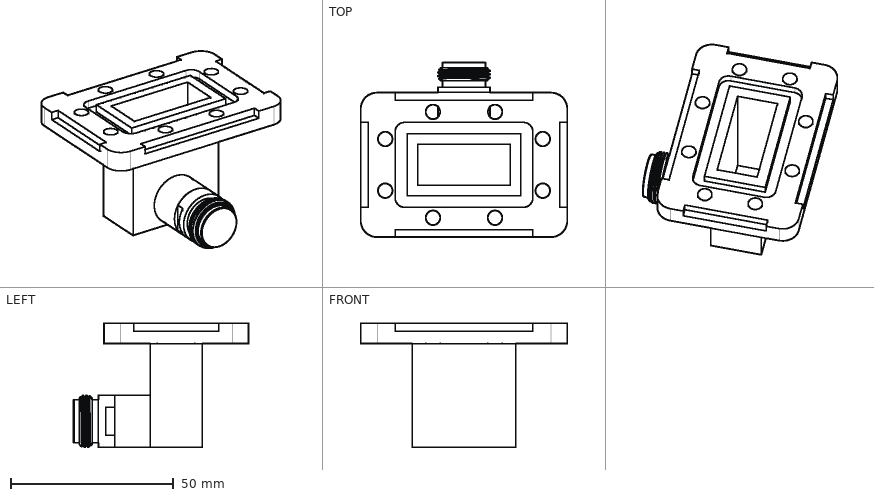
import cadquery as cq
import math

FLANGE_LENGTH = 63.5
FLANGE_WIDTH = 44.45
FLANGE_THICKNESS = 6.35
FLANGE_CORNER_RADIUS = 5.1

SEAT_LENGTH = 42.35
SEAT_WIDTH = 26.1
SEAT_CORNER_RADIUS = 3.0
SEAT_DEPTH = 2.5
RIM_LENGTH = 35.0
RIM_WIDTH = 19.1

NOTCH_INSET = 2.35
NOTCH_DEPTH = 2.5

HOLE_DIAMETER = 4.4
LONG_EDGE_HOLE_X = 9.5
LONG_EDGE_HOLE_Y = 16.25
SHORT_EDGE_HOLE_X = 24.2
SHORT_EDGE_HOLE_Y = 7.95

BOX_LENGTH = 31.9
BOX_WIDTH = 16.0
BOX_HEIGHT = 31.8
CAVITY_LENGTH = 28.45
WALL = (BOX_LENGTH - CAVITY_LENGTH) / 2
CAVITY_WIDTH = BOX_WIDTH - 2 * WALL

AXIS_RADIUS = BOX_WIDTH / 2
AXIS_Z = AXIS_RADIUS - BOX_HEIGHT
SLEEVE_START_Y = BOX_WIDTH / 2
SLEEVE_END_Y = 18.9
COLLAR_END_Y = 23.9
CONNECTOR_END_Y = 31.55
BARREL_RADIUS = 6.65
TIP_CHAMFER = 0.25

FLAT_LENGTH = 2.65
FLAT_CHORD = 8.7
FLAT_DISTANCE = math.sqrt(AXIS_RADIUS**2 - (FLAT_CHORD / 2) ** 2)

BAND_START_Y = 25.85
BAND_END_Y = 29.8
BAND_CHAMFER = 0.9
THREAD_PITCH = 1.1
GROOVE_TURNS = 5
GROOVE_BOTTOM_RADIUS = 7.3
GROOVE_BOTTOM_WIDTH = 0.1
GROOVE_TOP_WIDTH = 1.0
GROOVE_OVERSHOOT = 0.05


def rounded_block(length, width, height, radius):
    return cq.Workplane("XY").box(length, width, height, (True, True, False)).edges("|Z").fillet(radius)


def make_seat():
    floor_z = FLANGE_THICKNESS - SEAT_DEPTH
    seat = rounded_block(SEAT_LENGTH, SEAT_WIDTH, SEAT_DEPTH, SEAT_CORNER_RADIUS)
    rim = cq.Workplane("XY").box(RIM_LENGTH, RIM_WIDTH, SEAT_DEPTH, (True, True, False))
    return seat.cut(rim).translate((0, 0, floor_z))


def make_notches():
    notch_z = FLANGE_THICKNESS - NOTCH_DEPTH / 2
    along_x = cq.Workplane("XY").box(SEAT_LENGTH, 2 * NOTCH_INSET, NOTCH_DEPTH)
    along_y = cq.Workplane("XY").box(2 * NOTCH_INSET, SEAT_WIDTH, NOTCH_DEPTH)
    notches = cq.Workplane("XY")
    for side in (-1, 1):
        notches = notches.add(along_x.translate((0, side * FLANGE_WIDTH / 2, notch_z)))
        notches = notches.add(along_y.translate((side * FLANGE_LENGTH / 2, 0, notch_z)))
    return notches.combine()


def make_mounting_holes():
    points = []
    for x, y in ((LONG_EDGE_HOLE_X, LONG_EDGE_HOLE_Y), (SHORT_EDGE_HOLE_X, SHORT_EDGE_HOLE_Y)):
        points += [(x, y), (-x, y), (x, -y), (-x, -y)]
    return cq.Workplane("XY").pushPoints(points).circle(HOLE_DIAMETER / 2).extrude(FLANGE_THICKNESS)


def make_housing():
    """Flange and waveguide box in one piece."""
    flange = rounded_block(FLANGE_LENGTH, FLANGE_WIDTH, FLANGE_THICKNESS, FLANGE_CORNER_RADIUS)
    flange = flange.cut(make_seat()).cut(make_notches()).cut(make_mounting_holes())
    box = cq.Workplane("XY").rect(BOX_LENGTH, BOX_WIDTH).extrude(-BOX_HEIGHT)
    cavity_height = FLANGE_THICKNESS + BOX_HEIGHT - WALL
    cavity = (
        cq.Workplane("XY")
        .workplane(offset=FLANGE_THICKNESS)
        .rect(CAVITY_LENGTH, CAVITY_WIDTH)
        .extrude(-cavity_height)
    )
    return flange.union(box).cut(cavity)


def axial_cylinder(radius, start_y, end_y):
    """Cylinder on the connector axis between two Y positions."""
    plane = cq.Plane(origin=(0, start_y, AXIS_Z), xDir=(1, 0, 0), normal=(0, 1, 0))
    return cq.Workplane(plane).circle(radius).extrude(end_y - start_y)


def make_sleeve():
    return axial_cylinder(AXIS_RADIUS, SLEEVE_START_Y, SLEEVE_END_Y)


def make_groove_cutter():
    """Helical V-shaped cutter, swept about Z and then laid along +Y at the middle of the band."""
    length = THREAD_PITCH * GROOVE_TURNS
    top_radius = AXIS_RADIUS + GROOVE_OVERSHOOT
    helix = cq.Wire.makeHelix(THREAD_PITCH, length, GROOVE_BOTTOM_RADIUS)
    cutter = (
        cq.Workplane("XZ")
        .moveTo(GROOVE_BOTTOM_RADIUS, GROOVE_BOTTOM_WIDTH / 2)
        .lineTo(top_radius, GROOVE_TOP_WIDTH / 2)
        .lineTo(top_radius, -GROOVE_TOP_WIDTH / 2)
        .lineTo(GROOVE_BOTTOM_RADIUS, -GROOVE_BOTTOM_WIDTH / 2)
        .close()
        .sweep(cq.Workplane(helix), isFrenet=True)
    )
    laid = cutter.rotate((0, 0, 0), (1, 0, 0), -90)
    middle_y = (BAND_START_Y + BAND_END_Y) / 2
    return laid.translate((0, middle_y - length / 2, AXIS_Z))


def make_threaded_band():
    band = axial_cylinder(AXIS_RADIUS, BAND_START_Y, BAND_END_Y)
    chamfered_blank = band.faces("<Y or >Y").chamfer(BAND_CHAMFER)
    return band.cut(make_groove_cutter()).intersect(chamfered_blank)


def make_connector():
    collar = axial_cylinder(AXIS_RADIUS, SLEEVE_END_Y, COLLAR_END_Y)
    for side in (-1, 1):
        flat_x = side * (FLAT_DISTANCE + AXIS_RADIUS / 2)
        flat_y = SLEEVE_END_Y + FLAT_LENGTH / 2
        flat = cq.Workplane("XY").box(AXIS_RADIUS, FLAT_LENGTH, 2 * AXIS_RADIUS)
        collar = collar.cut(flat.translate((flat_x, flat_y, AXIS_Z)))
    barrel = axial_cylinder(BARREL_RADIUS, COLLAR_END_Y, CONNECTOR_END_Y)
    barrel = barrel.faces(">Y").chamfer(TIP_CHAMFER)
    return collar.union(barrel).union(make_threaded_band())


housing = make_housing().solids().val()
sleeve = make_sleeve().solids().val()
connector = make_connector().solids().val()

result = cq.Compound.makeCompound([housing, sleeve, connector])